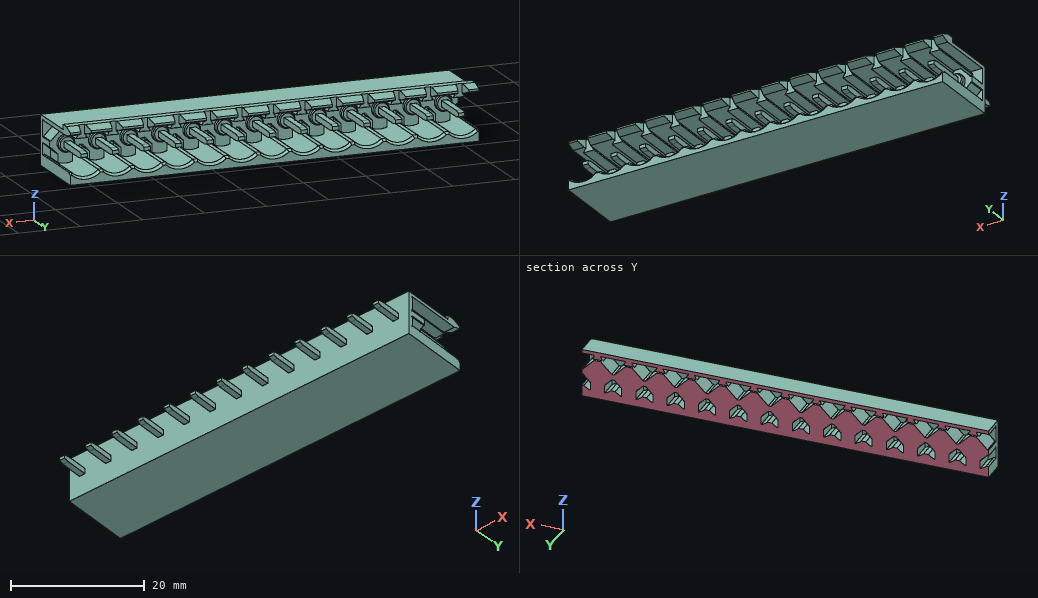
import cadquery as cq


length = 65.9
pin_count = 13
pitch = length / pin_count
pin_positions = [(i + 0.5) * pitch for i in range(pin_count)]

depth = 12.05
beam_top = 8.0
beam_bottom = 7.3
floor_top = 1.9
back_wall = 0.8
lip_chamfer_depth = 0.5
lip_chamfer_height = 0.3

hook_top = 8.8
hook_back = 9.15
hook_slope_depth = 1.6
hook_underside_depth = 1.4
hook_nose_bottom = 7.85
hook_nose_top = 8.2

notch_depth = 1.8
notch_mouth_width = 1.7
notch_back_width = 1.0

trough_radius = 3.15

pin_width = 1.05
pin_height = 1.0
pin_z = 4.2
pin_back = -4.75
pin_front = 11.35
pin_tip_length = 0.85
pin_tip_drop = 0.2

support_front = 3.7
support_top = 6.5
support_bottom = 2.6
support_root = 0.65
support_ledge = 0.2
collar_radius = 1.3
collar_length = 0.8
collar_chamfer = 0.2

rib_bottom = 6.65
rib_bottom_width = 1.85
rib_top_width = 1.05


def extrude_along_x(points, start, width):
    """Prism with a (Y, Z) outline."""
    return cq.Workplane("YZ", origin=(start, 0, 0)).polyline(points).close().extrude(width)


def extrude_along_y(points, x, start, end):
    """Prism with an (X, Z) outline measured from the given X."""
    plane = cq.Plane(origin=(x, start, 0), xDir=(1, 0, 0), normal=(0, -1, 0))
    return cq.Workplane(plane).polyline(points).close().extrude(start - end)


def make_housing():
    outline = [
        (0, 0),
        (depth, 0),
        (depth, floor_top - lip_chamfer_height),
        (depth - lip_chamfer_depth, floor_top),
        (back_wall, floor_top),
        (back_wall, beam_bottom),
        (depth - hook_underside_depth, beam_bottom),
        (depth, hook_nose_bottom),
        (depth, hook_nose_top),
        (depth - hook_slope_depth, hook_top),
        (hook_back, hook_top),
        (hook_back, beam_top),
        (0, beam_top),
    ]
    return extrude_along_x(outline, 0, length)


def make_trough_cutter(x):
    """Lower half of a round bore along Y, widened to a cone at the lip."""
    cone_start = depth - lip_chamfer_depth
    half_profile = [
        (0, back_wall),
        (trough_radius, back_wall),
        (trough_radius, cone_start),
        (trough_radius + lip_chamfer_height, depth),
        (0, depth),
    ]
    bore = (
        cq.Workplane("XY")
        .polyline(half_profile)
        .close()
        .revolve(360, (0, 0), (0, 1))
        .translate((x, 0, pin_z))
    )
    below_floor = cq.Workplane("XY").box(pitch, depth, floor_top, centered=(True, False, False))
    return bore.intersect(below_floor.translate((x, 0, 0)))


def make_notch_cutter(x):
    notch_back = depth - notch_depth
    outline = [
        (x - notch_back_width / 2, notch_back),
        (x + notch_back_width / 2, notch_back),
        (x + notch_mouth_width / 2, depth),
        (x - notch_mouth_width / 2, depth),
    ]
    return (
        cq.Workplane("XY", origin=(0, 0, beam_bottom))
        .polyline(outline)
        .close()
        .extrude(hook_top - beam_bottom)
    )


def make_support(x):
    """Block around the pin with 45 degree slopes, standing in the trough.

    A thin ledge at pin height joins it to its neighbours.
    """
    side = pitch / 2
    flat_top = pin_z + pin_height / 2
    flat_bottom = pin_z - pin_height / 2
    slope_start = side - support_ledge
    top_half_width = slope_start - (support_top - flat_top)
    foot_half_width = slope_start - (flat_bottom - support_bottom)
    right_side = [
        (foot_half_width, support_root),
        (foot_half_width, support_bottom),
        (slope_start, flat_bottom),
        (side, flat_bottom),
        (side, flat_top),
        (slope_start, flat_top),
        (top_half_width, support_top),
    ]
    left_side = [(-across, z) for across, z in reversed(right_side)]
    return extrude_along_y(right_side + left_side, x, 0, support_front)


def make_collar(x):
    plane = cq.Plane(origin=(x, support_front, pin_z), xDir=(1, 0, 0), normal=(0, 1, 0))
    return (
        cq.Workplane(plane)
        .circle(collar_radius)
        .extrude(collar_length)
        .faces(">Y")
        .chamfer(collar_chamfer)
    )


def make_rib(x):
    """Hanging rib, wider at its lower edge."""
    outline = [
        (-rib_bottom_width / 2, rib_bottom),
        (rib_bottom_width / 2, rib_bottom),
        (rib_top_width / 2, beam_bottom),
        (-rib_top_width / 2, beam_bottom),
    ]
    return extrude_along_y(outline, x, 0, depth - notch_depth)


def make_pin(x):
    """Rectangular pin with both ends tapered in height only."""
    half = pin_height / 2
    tip_half = half - pin_tip_drop
    upper_side = [
        (pin_back, pin_z + tip_half),
        (pin_back + pin_tip_length, pin_z + half),
        (pin_front - pin_tip_length, pin_z + half),
        (pin_front, pin_z + tip_half),
    ]
    lower_side = [(y, 2 * pin_z - z) for y, z in reversed(upper_side)]
    return extrude_along_x(upper_side + lower_side, x - pin_width / 2, pin_width)


result = make_housing()
for x in pin_positions:
    result = result.cut(make_trough_cutter(x)).cut(make_notch_cutter(x))
for x in pin_positions:
    contact = make_support(x).union(make_collar(x)).union(make_pin(x))
    result = result.union(contact).union(make_rib(x))